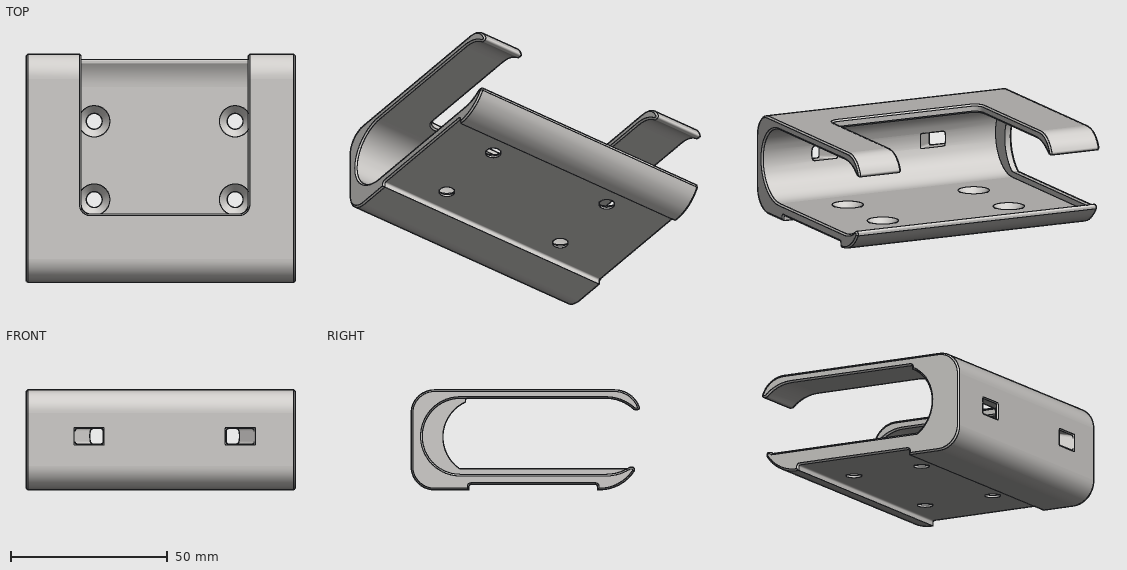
import cadquery as cq
import math

LENGTH = 86.0
HEIGHT = 32.0
FRONT_RADIUS = 7.5
EDGE_BREAK = 0.55
CORNER_ROUND = 0.65

RIM_THICKNESS = 2.5
FLOOR_Z = 5.0
ROOF_Z = 29.25
POCKET_MID_X = RIM_THICKNESS / 2
POCKET_MID_Y = 39.0
POCKET_MID_Z = (ROOF_Z + FLOOR_Z) / 2
POCKET_FLAT_LENGTH = 46.6
POCKET_FRONT_RADIUS = (ROOF_Z - FLOOR_Z) / 2
FLAT_START_Y = POCKET_MID_Y - POCKET_FLAT_LENGTH / 2
FLAT_END_Y = POCKET_MID_Y + POCKET_FLAT_LENGTH / 2

RIM_FLOOR_Z = 6.8
RIM_ARC_RADIUS = 12.25
RIM_ARC_Z = 16.9
RIM_APEX_Y = 10.2
RIM_STEP_Y = 17.4

ARM_OUTER_START_Y = 64.97
ARM_OUTER_RADIUS = 8.45
ARM_BACK_Y = ARM_OUTER_START_Y + ARM_OUTER_RADIUS
ARM_INNER_START_Y = 62.2
ARM_TIP_INNER_Y = 71.3
ARM_TIP_Z = 25.6

LIP_OUTER_START_Y = 60.2
LIP_OUTER_RADIUS = 13.2
LIP_INNER_Y = 69.9
LIP_OUTER_Y = 71.3
LIP_TOP_Z = 7.3

SLOT_WIDTH = 53.3
SLOT_START_Y = 21.9
SLOT_CORNER_RADIUS = 3.0

RECESS_LENGTH = 41.0
RECESS_DEPTH = 1.75

HOLE_DIAMETER = 5.0
SINK_DIAMETER = 10.0
SINK_ANGLE = 90.0
HOLE_SPACING_X = 45.0
HOLE_SPACING_Y = 25.0

WINDOW_SPACING = 48.3
WINDOW_WIDTH = 8.85
WINDOW_HEIGHT = 4.9
WINDOW_ROUND = 0.7
WINDOW_SLANT = 56.0
WINDOW_FLARE = 0.4
FLARE_ANGLE = 45.0
WINDOW_REACH = 10.0

OVERCUT = 1.0
PICK_MARGIN = 0.1


def box(x_range, y_range, z_range):
    """Box spanning the given (low, high) ranges."""
    size = [high - low for low, high in (x_range, y_range, z_range)]
    low_corner = (x_range[0], y_range[0], z_range[0])
    return cq.Workplane("XY").box(*size, centered=False).translate(low_corner)


def cylinder_along_x(y, z, radius, x_range):
    """Cylinder parallel to X spanning the given X range."""
    disc = cq.Workplane("YZ", origin=(x_range[0], 0, 0)).center(y, z).circle(radius)
    return disc.extrude(x_range[1] - x_range[0])


def circle_point(centre, radius, degrees):
    """Point on a circle in the YZ plane, the angle measured from +Y toward +Z."""
    angle = math.radians(degrees)
    return (centre[0] + radius * math.cos(angle), centre[1] + radius * math.sin(angle))


def outer_block():
    """Solid section with rounded front corners and the curved back ends."""
    arm_centre = (ARM_OUTER_START_Y, HEIGHT - ARM_OUTER_RADIUS)
    lip_centre = (LIP_OUTER_START_Y, LIP_OUTER_RADIUS)
    arm_end_angle = math.degrees(math.asin((ARM_TIP_Z - arm_centre[1]) / ARM_OUTER_RADIUS))
    lip_end_angle = -math.degrees(math.acos((LIP_OUTER_Y - LIP_OUTER_START_Y) / LIP_OUTER_RADIUS))
    arm_end = circle_point(arm_centre, ARM_OUTER_RADIUS, arm_end_angle)
    profile = (
        cq.Workplane("YZ", origin=(-LENGTH / 2, 0, 0))
        .lineTo(LIP_OUTER_START_Y, 0)
        .threePointArc(
            circle_point(lip_centre, LIP_OUTER_RADIUS, (lip_end_angle - 90) / 2),
            circle_point(lip_centre, LIP_OUTER_RADIUS, lip_end_angle),
        )
        .lineTo(LIP_OUTER_Y, ARM_TIP_Z)
        .lineTo(*arm_end)
        .threePointArc(
            circle_point(arm_centre, ARM_OUTER_RADIUS, (arm_end_angle + 90) / 2),
            (ARM_OUTER_START_Y, HEIGHT),
        )
        .lineTo(0, HEIGHT)
        .close()
    )
    block = profile.extrude(LENGTH)
    return block.edges("|X and <Y").fillet(FRONT_RADIUS)


def pocket_shape(x_range):
    """Pocket with a half-round front, curved up to the lip and down to the arm tips at the back."""
    arm_run = ARM_TIP_INNER_Y - ARM_INNER_START_Y
    arm_drop = ROOF_Z - ARM_TIP_Z
    arm_radius = (arm_run**2 + arm_drop**2) / (2 * arm_drop)
    arm_centre = (ARM_INNER_START_Y, ROOF_Z - arm_radius)
    arm_middle_angle = 90 - math.degrees(math.asin(arm_run / arm_radius)) / 2
    profile = (
        cq.Workplane("YZ", origin=(x_range[0], 0, 0))
        .moveTo(FLAT_START_Y, FLOOR_Z)
        .lineTo(FLAT_END_Y, FLOOR_Z)
        .tangentArcPoint((LIP_INNER_Y, LIP_TOP_Z), relative=False)
        .lineTo(ARM_TIP_INNER_Y, ARM_TIP_Z)
        .threePointArc(circle_point(arm_centre, arm_radius, arm_middle_angle), (ARM_INNER_START_Y, ROOF_Z))
        .lineTo(FLAT_START_Y, ROOF_Z)
        .threePointArc((FLAT_START_Y - POCKET_FRONT_RADIUS, POCKET_MID_Z), (FLAT_START_Y, FLOOR_Z))
        .close()
    )
    return profile.extrude(x_range[1] - x_range[0])


def rim_opening():
    """Opening through the rim at the -X end, smaller than the pocket in front and below."""
    x_range = (-LENGTH / 2, -LENGTH / 2 + RIM_THICKNESS)
    arc_y = RIM_APEX_Y + RIM_ARC_RADIUS
    front = cylinder_along_x(arc_y, RIM_ARC_Z, RIM_ARC_RADIUS, x_range)
    rear = box(x_range, (RIM_STEP_Y, ARM_TIP_INNER_Y), (FLOOR_Z, HEIGHT))
    above_floor = box(x_range, (0, ARM_TIP_INNER_Y), (RIM_FLOOR_Z, HEIGHT))
    return front.union(rear).intersect(pocket_shape(x_range)).intersect(above_floor)


def mouth():
    """Gap at the back between the lip and the arm tips."""
    x_range = (-LENGTH / 2, LENGTH / 2)
    return box(x_range, (FLAT_END_Y, LIP_OUTER_Y + OVERCUT), (LIP_TOP_Z, ARM_TIP_Z))


def recess():
    """Shallow channel along X across the underside."""
    y_range = (POCKET_MID_Y - RECESS_LENGTH / 2, POCKET_MID_Y + RECESS_LENGTH / 2)
    return box((-LENGTH / 2, LENGTH / 2), y_range, (0, RECESS_DEPTH))


def arm_slot():
    """U-shaped slot through the roof, open at the back."""
    x_range = (POCKET_MID_X - SLOT_WIDTH / 2, POCKET_MID_X + SLOT_WIDTH / 2)
    y_range = (SLOT_START_Y, ARM_BACK_Y)
    slot = box(x_range, y_range, (POCKET_MID_Z, HEIGHT))
    return slot.edges("|Z and <Y").fillet(SLOT_CORNER_RADIUS)


def add_screw_holes(body):
    """Screw holes through the floor, countersunk from inside the pocket."""
    sink_depth = (SINK_DIAMETER - HOLE_DIAMETER) / 2 / math.tan(math.radians(SINK_ANGLE / 2))
    hole = cq.Solid.makeCylinder(HOLE_DIAMETER / 2, FLOOR_Z)
    sink = cq.Solid.makeCone(
        HOLE_DIAMETER / 2, SINK_DIAMETER / 2, sink_depth, cq.Vector(0, 0, FLOOR_Z - sink_depth)
    )
    cutter = hole.fuse(sink)
    centres = cq.Workplane("XY", origin=(POCKET_MID_X, POCKET_MID_Y, 0)).rarray(
        HOLE_SPACING_X, HOLE_SPACING_Y, 2, 2
    )
    return body.cut(centres.eachpoint(lambda place: cutter.moved(place)))


def window(side):
    """Slanted channel through the front wall, leaning toward the middle, with a flared mouth.

    side is -1 for the window at -X and +1 for the one at +X.
    """
    run = WINDOW_REACH - WINDOW_FLARE
    slant = cq.Vector(-side * run * math.tan(math.radians(WINDOW_SLANT)), run, 0)
    outline = cq.Workplane("XZ", origin=(0, WINDOW_FLARE, 0)).rect(WINDOW_WIDTH, WINDOW_HEIGHT).val()
    outline = outline.fillet2D(WINDOW_ROUND, outline.Vertices())
    channel = cq.Workplane(cq.Solid.extrudeLinear(outline, [], slant))
    flare = (
        cq.Workplane("XZ")
        .rect(WINDOW_WIDTH + 2 * WINDOW_FLARE, WINDOW_HEIGHT + 2 * WINDOW_FLARE)
        .extrude(-WINDOW_FLARE, taper=FLARE_ANGLE)
        .edges("not (#Y or |X or |Z)")
        .fillet(WINDOW_ROUND)
    )
    return channel.union(flare).translate((POCKET_MID_X + side * WINDOW_SPACING / 2, 0, POCKET_MID_Z))


def round_small_corners(body):
    """Round the tips, the lip, the recess corners and the rim corners of the section."""
    arm_drop = ARM_TIP_Z - (HEIGHT - ARM_OUTER_RADIUS)
    rim_drop = RIM_ARC_Z - RIM_FLOOR_Z
    corners = [
        (LIP_OUTER_Y, LIP_TOP_Z),
        (LIP_INNER_Y, LIP_TOP_Z),
        (ARM_TIP_INNER_Y, ARM_TIP_Z),
        (ARM_OUTER_START_Y + math.sqrt(ARM_OUTER_RADIUS**2 - arm_drop**2), ARM_TIP_Z),
        (POCKET_MID_Y - RECESS_LENGTH / 2, RECESS_DEPTH),
        (POCKET_MID_Y + RECESS_LENGTH / 2, RECESS_DEPTH),
        (RIM_STEP_Y, ROOF_Z),
        (RIM_APEX_Y + RIM_ARC_RADIUS - math.sqrt(RIM_ARC_RADIUS**2 - rim_drop**2), RIM_FLOOR_Z),
    ]
    for y, z in corners:
        near = cq.selectors.BoxSelector(
            (-LENGTH, y - PICK_MARGIN, z - PICK_MARGIN), (LENGTH, y + PICK_MARGIN, z + PICK_MARGIN)
        )
        body = body.edges("|X").edges(near).fillet(CORNER_ROUND)
    return body


def slot_rim_edges(body):
    """Edges around the slot walls, without the seams between those walls."""
    half_width = SLOT_WIDTH / 2 + PICK_MARGIN
    inside = cq.selectors.BoxSelector(
        (POCKET_MID_X - half_width, 0, ARM_TIP_Z - PICK_MARGIN),
        (POCKET_MID_X + half_width, ARM_BACK_Y, HEIGHT + PICK_MARGIN),
        boundingbox=True,
    )
    walls = body.faces(inside)
    return walls.edges("not(|Z)")


body = outer_block()
body = body.cut(pocket_shape((-LENGTH / 2 + RIM_THICKNESS, LENGTH / 2)))
body = body.cut(rim_opening()).cut(mouth()).cut(recess())
body = round_small_corners(body)

body = body.faces("<X").edges().chamfer(EDGE_BREAK)
body = body.faces(">X").edges().chamfer(EDGE_BREAK)
body = body.cut(arm_slot())
body = slot_rim_edges(body).chamfer(EDGE_BREAK)

for side in (-1, 1):
    body = body.cut(window(side))
result = add_screw_holes(body)